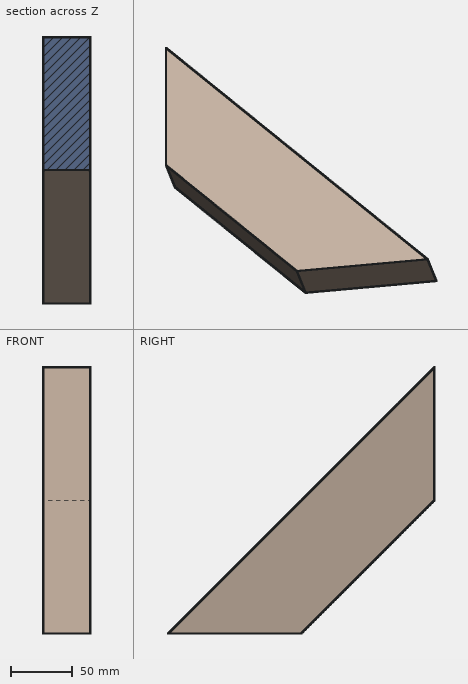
import cadquery as cq

side = 215.5
thickness = 38.1
end_length = side / 2

profile = [
    (0, 0),
    (end_length, 0),
    (side, side - end_length),
    (side, side),
]

result = cq.Workplane("YZ").polyline(profile).close().extrude(thickness)